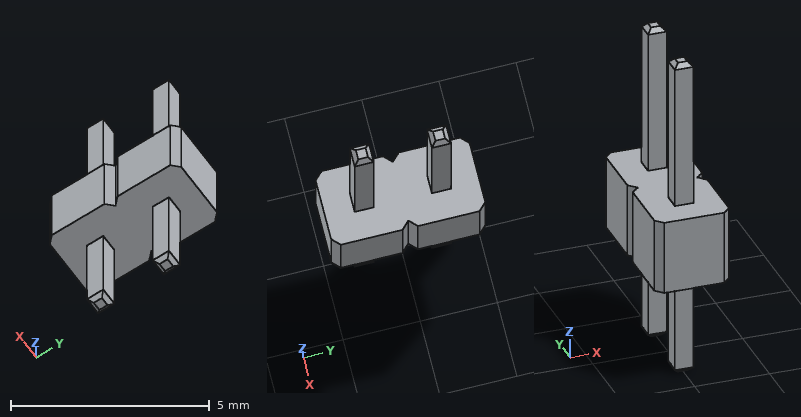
import cadquery as cq

pin_count = 2
pitch = 2.0
body_width = 2.0
body_height = 2.0
corner_chamfer = 0.2

pin_side = 0.5
pin_above_body = 4.0
pin_below_body = 2.8
tip_chamfer = 0.125

pin_length = pin_below_body + body_height + pin_above_body
first_pin_y = -pitch * (pin_count - 1) / 2


def make_body_segment(y):
    """One pitch of the body; chamfered corners leave V notches between neighbours."""
    segment = cq.Workplane("XY").box(body_width, pitch, body_height, centered=(True, True, False))
    return segment.edges("|Z").chamfer(corner_chamfer).translate((0, y, 0))


def make_pin(y):
    """Square pin with both ends chamfered, passing through the body."""
    pin = cq.Workplane("XY").box(pin_side, pin_side, pin_length, centered=(True, True, False))
    return pin.faces("<Z or >Z").chamfer(tip_chamfer).translate((0, y, -pin_below_body))


pin_positions = [first_pin_y + i * pitch for i in range(pin_count)]

header = make_body_segment(pin_positions[0])
for y in pin_positions[1:]:
    header = header.union(make_body_segment(y))
for y in pin_positions:
    header = header.union(make_pin(y))

result = header.clean()